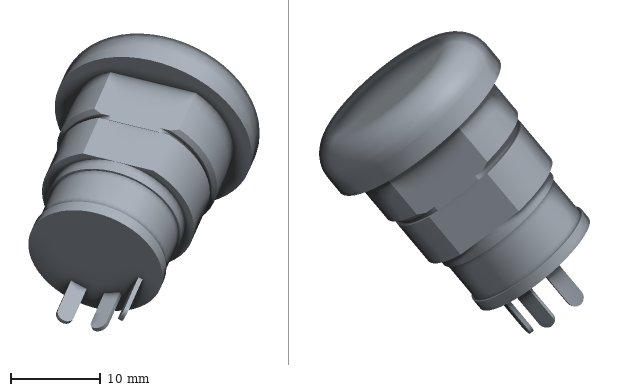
import cadquery as cq
import math


head_diameter = 23.25
head_length = 5.85
head_rounding = 3.6
neck_diameter = 18.95
neck_end = 12.18
neck_chamfer = 0.48
neck_across_flats = 16.05

groove_diameter = 17.07
groove_end = 12.8
barrel_diameter = 17.95
barrel_end = 18.5
barrel_across_flats = 15.9
collar_diameter = 15.85
collar_end = 19.97
waist_diameter = 15.27
waist_end = 25.2
base_end = 26.57

overall_length = 32.2
blade_width = 2.0
blade_thickness = 0.5
blade_circle_radius = 5.35
first_blade_angle = -112.5
blade_spacing = 45.0
blade_count = 3


def cylinder(diameter, start, end):
    """Round section along Y between two stations."""
    section = cq.Workplane("XZ", origin=(0, -start, 0))
    return section.circle(diameter / 2).extrude(end - start)


def cut_flats(section, across_flats):
    """Trim a round section to parallel flats at the top and bottom."""
    slab = cq.Workplane("XY").box(head_diameter, 2 * overall_length, across_flats)
    return section.intersect(slab)


def make_bezel():
    """Rounded head with a chamfered neck that has two flats."""
    head = cylinder(head_diameter, 0, head_length).faces(">Y").edges().fillet(head_rounding)
    neck = cylinder(neck_diameter, head_length, neck_end).faces("<Y").edges().chamfer(neck_chamfer)
    return head.union(cut_flats(neck, neck_across_flats))


def make_blade(angle):
    """Terminal blade on the base, at an angle from +X about the axis."""
    straight_length = overall_length - base_end - blade_width / 2
    radians = math.radians(angle)
    tangent = (-math.sin(radians), 0, math.cos(radians))
    outward = (math.cos(radians), 0, math.sin(radians))
    inner_face_radius = blade_circle_radius - blade_thickness / 2
    origin = (inner_face_radius * outward[0], -base_end, inner_face_radius * outward[2])
    plane = cq.Plane(origin=origin, xDir=tangent, normal=outward)
    half_width = blade_width / 2
    return (
        cq.Workplane(plane)
        .moveTo(-half_width, 0)
        .lineTo(-half_width, straight_length)
        .threePointArc((0, straight_length + half_width), (half_width, straight_length))
        .lineTo(half_width, 0)
        .close()
        .extrude(blade_thickness)
    )


def make_insert():
    """Stepped switch body behind the neck, with its terminal blades."""
    groove = cut_flats(cylinder(groove_diameter, neck_end, groove_end), neck_across_flats)
    barrel = cut_flats(cylinder(barrel_diameter, groove_end, barrel_end), barrel_across_flats)
    collar = cylinder(collar_diameter, barrel_end, collar_end)
    waist = cylinder(waist_diameter, collar_end, waist_end)
    base = cylinder(collar_diameter, waist_end, base_end)
    insert = groove.union(barrel).union(collar).union(waist).union(base)
    for index in range(blade_count):
        insert = insert.union(make_blade(first_blade_angle + index * blade_spacing))
    return insert


bezel = make_bezel()
insert = make_insert()
result = cq.Compound.makeCompound([bezel.val(), insert.val()])